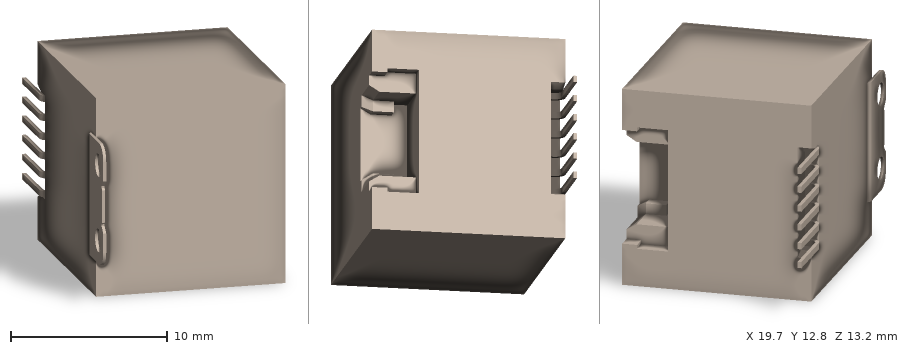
import cadquery as cq
import math

body_length = 14.2
body_depth = 12.6
body_height = 13.21
left_x = -body_length / 2
right_x = body_length / 2
front_y = -body_depth / 2
back_y = body_depth / 2

proud = 0.2
outer_y = front_y - proud

pin_count = 6
pin_pitch = 1.27
pin_width = 0.42
pin_thickness = 0.25
pin_reach = 3.02
pin_bend_radius = 0.65
pin_end_gap = 0.05

pocket_length = 1.76
pocket_depth = 0.92
pocket_height = 6.9
pocket_mouth_height = 7.44
flare_length = 0.8

tab_reach = 2.5
tab_length = 3.71
tab_height = 8.05
tab_bend_radius = 0.4
tab_corner_radius = 1.0
tab_hole_diameter = 1.52
tab_hole_pitch = 5.0
tab_hole_inset = 1.22
notch_height = 1.27
notch_tip_height = 0.12
notch_depth = 0.4
tab_edge_recess = 0.27

recess_depth = 3.05
recess_length = 1.0
recess_half_height = 4.09
recess_mouth_half_height = 3.83
recess_lip_depth = 1.0

cavity_length = 4.0
cavity_half_height = 2.78
cavity_mouth_half_height = 3.19
taper_depth = 0.66

pad_depth = 2.03
pad_rise = 0.8
pad_half_gap = 2.06
pad_mouth_half_gap = 2.42
pad_ramp_drop = 0.4


def make_body():
    return cq.Workplane("XY").box(body_length, body_depth, body_height)


def make_pin_pocket():
    half_height = pocket_height / 2
    half_mouth = pocket_mouth_height / 2
    return (
        cq.Workplane("XZ", origin=(0, front_y, 0))
        .moveTo(left_x, -half_mouth)
        .lineTo(left_x + flare_length, -half_height)
        .lineTo(left_x + pocket_length, -half_height)
        .lineTo(left_x + pocket_length, half_height)
        .lineTo(left_x + flare_length, half_height)
        .lineTo(left_x, half_mouth)
        .close()
        .extrude(-pocket_depth)
    )


def make_pin(center_z):
    """Pin lying along X that bends back into the floor of the pocket."""
    tip_x = left_x - pin_reach
    leg_x = left_x + pocket_length - pin_end_gap
    bend_x = leg_x - pin_bend_radius
    bend_y = outer_y + pin_bend_radius
    floor_y = front_y + pocket_depth
    inner_radius = pin_bend_radius - pin_thickness
    diagonal = math.sqrt(0.5)
    return (
        cq.Workplane("XY", origin=(0, 0, center_z - pin_width / 2))
        .moveTo(tip_x, outer_y)
        .lineTo(bend_x, outer_y)
        .threePointArc(
            (bend_x + pin_bend_radius * diagonal, bend_y - pin_bend_radius * diagonal),
            (leg_x, bend_y),
        )
        .lineTo(leg_x, floor_y)
        .lineTo(leg_x - pin_thickness, floor_y)
        .lineTo(leg_x - pin_thickness, bend_y)
        .threePointArc(
            (bend_x + inner_radius * diagonal, bend_y - inner_radius * diagonal),
            (bend_x, outer_y + pin_thickness),
        )
        .lineTo(tip_x, outer_y + pin_thickness)
        .close()
        .extrude(pin_width)
    )


def make_tab():
    """Flat tab on the front face whose inner end is rounded back into the housing."""
    end_x = right_x + tab_reach
    start_x = end_x - tab_length
    half_height = tab_height / 2
    root_y = outer_y + tab_bend_radius

    tab = (
        cq.Workplane("XY", origin=(0, 0, -half_height))
        .moveTo(end_x, outer_y)
        .lineTo(start_x + tab_bend_radius, outer_y)
        .radiusArc((start_x, root_y), tab_bend_radius)
        .lineTo(start_x + tab_bend_radius, root_y)
        .lineTo(start_x + tab_bend_radius, front_y)
        .lineTo(end_x, front_y)
        .close()
        .extrude(tab_height)
    )
    tab = tab.edges("|Y and >X").fillet(tab_corner_radius)

    holes = (
        cq.Workplane("XZ", origin=(end_x - tab_hole_inset, front_y, 0))
        .pushPoints([(0, -tab_hole_pitch / 2), (0, tab_hole_pitch / 2)])
        .circle(tab_hole_diameter / 2)
        .extrude(proud)
    )
    return tab.cut(holes).cut(make_tab_edge_relief(end_x))


def make_tab_edge_relief(end_x):
    """Shallow relief in the tab's free edge, ending in a 45 degree notch at each side."""
    tip_top_z = notch_height + notch_tip_height / 2
    tip_bottom_z = notch_height - notch_tip_height / 2
    outer_z = tip_top_z + notch_depth
    inner_z = tip_bottom_z - (notch_depth - tab_edge_recess)
    return (
        cq.Workplane("XZ", origin=(end_x, front_y, 0))
        .moveTo(0, outer_z)
        .lineTo(-notch_depth, tip_top_z)
        .lineTo(-notch_depth, tip_bottom_z)
        .lineTo(-tab_edge_recess, inner_z)
        .lineTo(-tab_edge_recess, -inner_z)
        .lineTo(-notch_depth, -tip_bottom_z)
        .lineTo(-notch_depth, -tip_top_z)
        .lineTo(0, -outer_z)
        .close()
        .extrude(proud)
    )


def make_recess():
    lip_y = back_y - recess_lip_depth
    floor_y = back_y - recess_depth
    return (
        cq.Workplane("YZ", origin=(left_x, 0, 0))
        .moveTo(back_y, -recess_mouth_half_height)
        .lineTo(back_y, recess_mouth_half_height)
        .lineTo(lip_y, recess_mouth_half_height)
        .lineTo(lip_y, recess_half_height)
        .lineTo(floor_y, recess_half_height)
        .lineTo(floor_y, -recess_half_height)
        .lineTo(lip_y, -recess_half_height)
        .lineTo(lip_y, -recess_mouth_half_height)
        .close()
        .extrude(recess_length)
    )


def make_cavity():
    taper_y = back_y - taper_depth
    floor_y = back_y - recess_depth
    return (
        cq.Workplane("YZ", origin=(left_x, 0, 0))
        .moveTo(back_y, -cavity_mouth_half_height)
        .lineTo(back_y, cavity_mouth_half_height)
        .lineTo(taper_y, cavity_half_height)
        .lineTo(floor_y, cavity_half_height)
        .lineTo(floor_y, -cavity_half_height)
        .lineTo(taper_y, -cavity_half_height)
        .close()
        .extrude(cavity_length)
    )


def make_upper_pad():
    """Pad following the upper cavity wall, its face ramping away towards the back."""
    taper_y = back_y - taper_depth
    inner_y = back_y - pad_depth
    end_x = left_x + cavity_length
    face_x = end_x - pad_rise
    outline = (
        cq.Workplane("YZ", origin=(face_x, 0, 0))
        .moveTo(back_y, pad_mouth_half_gap)
        .lineTo(back_y, cavity_mouth_half_height)
        .lineTo(taper_y, cavity_half_height)
        .lineTo(inner_y, cavity_half_height)
        .lineTo(inner_y, pad_half_gap)
        .lineTo(taper_y, pad_half_gap)
        .close()
        .extrude(pad_rise)
    )
    ramp = (
        cq.Workplane("XY")
        .moveTo(face_x, taper_y)
        .lineTo(face_x, back_y)
        .lineTo(face_x + pad_ramp_drop, back_y)
        .close()
        .extrude(cavity_mouth_half_height)
    )
    return outline.cut(ramp)


upper_pad = make_upper_pad()
result = make_body().cut(make_pin_pocket()).cut(make_recess()).cut(make_cavity())
result = result.union(upper_pad).union(upper_pad.mirror("XY")).union(make_tab())
for index in range(pin_count):
    result = result.union(make_pin((index - (pin_count - 1) / 2) * pin_pitch))